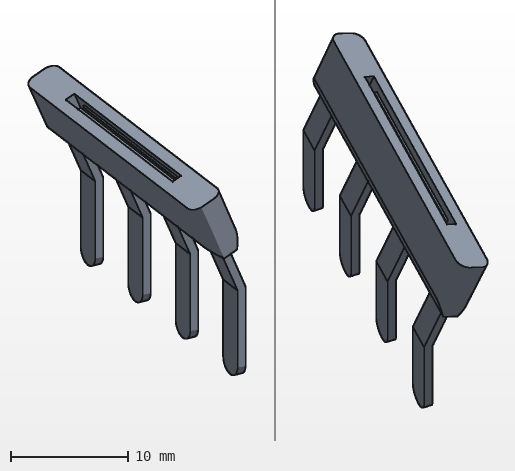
import cadquery as cq
import math

TILT = 22.5
BODY_LENGTH = 28.6
END_DRAFT = 0.11
BODY_THICKNESS = 3.15
BODY_HEIGHT = 5.98
CORNER_RADIUS = 1.0
TAPER_HEIGHT = 1.4
TAPER_FOOT = 1.4

OVERALL_DEPTH = 5.78
OVERALL_HEIGHT = 18.82

LEG_COUNT = 4
LEG_PITCH = 8.0
LEG_WIDTH = 2.5
LEG_THICKNESS = 0.8
LEG_BEND_HEIGHT = 8.58
LEG_EMBED = 0.85

SLOT_LENGTH = 18.02
SLOT_WIDTH = 0.92
SLOT_DEPTH = 1.6
RIDGE_LENGTH = 15.73
RIDGE_RADIUS = 0.15

lean_sin = math.sin(math.radians(TILT))
lean_cos = math.cos(math.radians(TILT))

top_y = -OVERALL_DEPTH + BODY_THICKNESS / 2 * lean_cos
top_z = OVERALL_HEIGHT - BODY_THICKNESS / 2 * lean_sin


def make_body():
    """Upright rounded bar with drafted ends and a bevelled foot; its top face is centred on the origin."""
    half_top = BODY_LENGTH / 2
    half_foot = half_top - END_DRAFT
    bar = (
        cq.Workplane("XZ")
        .polyline([
            (-half_top, 0), (half_top, 0),
            (half_foot, -BODY_HEIGHT), (-half_foot, -BODY_HEIGHT),
        ])
        .close()
        .extrude(BODY_THICKNESS / 2, both=True)
        .edges("not (|X or |Y)")
        .fillet(CORNER_RADIUS)
    )
    side = BODY_THICKNESS / 2
    foot = TAPER_FOOT / 2
    bevel_z = TAPER_HEIGHT - BODY_HEIGHT
    profile = (
        cq.Workplane("YZ")
        .polyline([
            (-side, 0), (side, 0), (side, bevel_z),
            (foot, -BODY_HEIGHT), (-foot, -BODY_HEIGHT), (-side, bevel_z),
        ])
        .close()
        .extrude(half_top, both=True)
    )
    return bar.intersect(profile)


def make_ridge():
    """Rod along X with spherical ends, centred on the origin."""
    shaft_end = RIDGE_LENGTH / 2 - RIDGE_RADIUS
    return (
        cq.Workplane("XY")
        .moveTo(-RIDGE_LENGTH / 2, 0)
        .radiusArc((-shaft_end, RIDGE_RADIUS), RIDGE_RADIUS)
        .lineTo(shaft_end, RIDGE_RADIUS)
        .radiusArc((RIDGE_LENGTH / 2, 0), RIDGE_RADIUS)
        .close()
        .revolve(360, (0, 0, 0), (1, 0, 0))
    )


def make_slot():
    """Blind slot in the top face, with a half-round ridge left on each long wall."""
    slot = (
        cq.Workplane("XY")
        .rect(SLOT_LENGTH, SLOT_WIDTH)
        .extrude(-SLOT_DEPTH)
    )
    ridge = make_ridge()
    for side in (-1, 1):
        slot = slot.cut(ridge.translate((0, side * SLOT_WIDTH / 2, -SLOT_DEPTH / 2)))
    return slot


def make_leg(x):
    """Bent strip with a round tip; its upper end runs into the foot of the body."""
    half = LEG_THICKNESS / 2
    mitre = half * math.tan(math.radians(TILT / 2))
    foot_z = top_z - BODY_HEIGHT * lean_cos
    run = (foot_z - LEG_BEND_HEIGHT) / lean_cos + LEG_EMBED
    step_y = -run * lean_sin
    step_z = run * lean_cos
    front_bend = (-LEG_THICKNESS, LEG_BEND_HEIGHT - mitre)
    back_bend = (0, LEG_BEND_HEIGHT + mitre)
    end_y = -half + step_y
    end_z = LEG_BEND_HEIGHT + step_z
    strip = (
        cq.Workplane("YZ", origin=(x, 0, 0))
        .polyline([
            (0, 0), back_bend,
            (end_y + half * lean_cos, end_z + half * lean_sin),
            (end_y - half * lean_cos, end_z - half * lean_sin),
            front_bend, (-LEG_THICKNESS, 0),
        ])
        .close()
        .extrude(LEG_WIDTH / 2, both=True)
    )
    radius = LEG_WIDTH / 2
    outline = (
        cq.Workplane("XZ", origin=(x, 0, 0))
        .moveTo(-radius, radius)
        .threePointArc((0, 0), (radius, radius))
        .lineTo(radius, OVERALL_HEIGHT)
        .lineTo(-radius, OVERALL_HEIGHT)
        .close()
        .extrude(OVERALL_DEPTH, both=True)
    )
    return strip.intersect(outline)


result = (
    make_body()
    .cut(make_slot())
    .rotate((0, 0, 0), (1, 0, 0), TILT)
    .translate((0, top_y, top_z))
)
for index in range(LEG_COUNT):
    leg_x = (index - (LEG_COUNT - 1) / 2) * LEG_PITCH
    result = result.union(make_leg(leg_x))